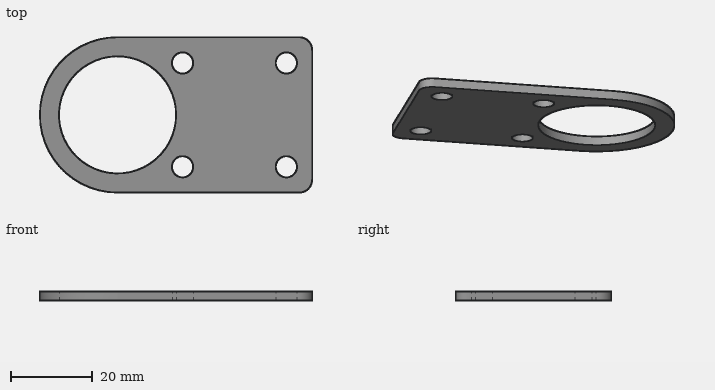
import cadquery as cq

length = 66.7
thickness = 2.3
corner_radius = 3.2

opening_diameter = 28.6

hole_diameter = 5.15
hole_spacing = 25.4
hole_edge_distance = 6.35

width = hole_spacing + 2 * hole_edge_distance
end_radius = width / 2
straight_end_x = length - end_radius
pattern_center_x = straight_end_x - hole_edge_distance - hole_spacing / 2


def make_plate():
    """Flat plate with one semicircular end and two rounded corners."""
    plate = (
        cq.Workplane("XY")
        .moveTo(0, -end_radius)
        .lineTo(straight_end_x, -end_radius)
        .lineTo(straight_end_x, end_radius)
        .lineTo(0, end_radius)
        .threePointArc((-end_radius, 0), (0, -end_radius))
        .close()
        .extrude(thickness)
    )
    return plate.edges("|Z and >X").fillet(corner_radius)


def make_opening():
    return cq.Workplane("XY").circle(opening_diameter / 2).extrude(thickness)


def make_mounting_holes():
    return (
        cq.Workplane("XY")
        .center(pattern_center_x, 0)
        .rarray(hole_spacing, hole_spacing, 2, 2)
        .circle(hole_diameter / 2)
        .extrude(thickness)
    )


result = make_plate().cut(make_opening()).cut(make_mounting_holes())